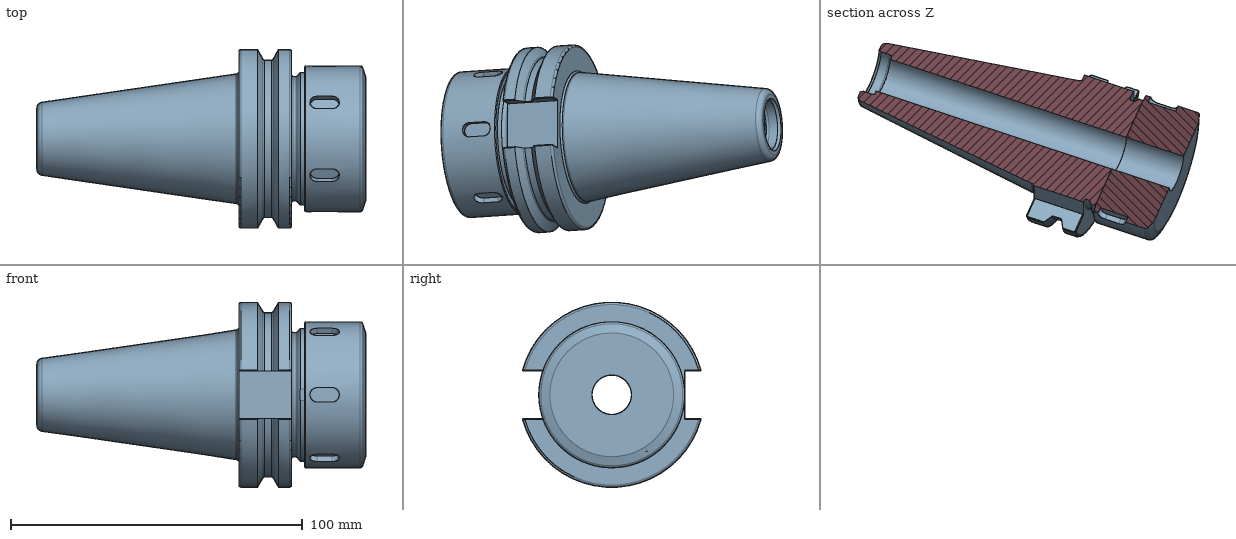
import cadquery as cq
import math


TAPER_LENGTH = 68.1
TAPER_DIAMETER = 44.4
TAPER_RATE = 7 / 24
TAPER_TIP_DIAMETER = TAPER_DIAMETER - TAPER_RATE * TAPER_LENGTH
TAPER_TIP_FILLET = 2.1
COLLAR_LENGTH = 0.5
COLLAR_CONE_DIAMETER = 45.5

FLANGE_START = 69.2
FLANGE_END = 87.3
FLANGE_DIAMETER = 63.5
FLANGE_FILLET = 0.8
GROOVE_OFFSET = 11.2
GROOVE_CENTRE = TAPER_LENGTH + GROOVE_OFFSET
GROOVE_DIAMETER = 56.4
GROOVE_MOUTH = 7.2
GROOVE_HALF_ANGLE = math.radians(30)
GROOVE_FILLET = 0.6

NECK_DIAMETER = 42.7
NECK_FILLET = 0.5
SHOULDER_DIAMETER = 45.5
SHOULDER_START = 90.3
SHOULDER_CONE_LENGTH = 1.2

DRIVE_SLOT_WIDTH = 16.2
DRIVE_SLOT_EDGE_CHAMFER = 0.3
DEEP_SLOT_SHOULDER_FLAT = 3.8
DEEP_SLOT_FLOOR = math.sqrt((SHOULDER_DIAMETER / 2) ** 2 - (DEEP_SLOT_SHOULDER_FLAT / 2) ** 2)
SHALLOW_SLOT_FLOOR = 25.0

BORE_DIAMETER = 13.4
COUNTERBORE_DIAMETER = 16.8
COUNTERBORE_DEPTH = 4.1
COUNTERBORE_MOUTH_DIAMETER = 18.0
COUNTERBORE_MOUTH_DEPTH = 1.0
COUNTERBORE_FLOOR_DIAMETER = 16.2
COUNTERBORE_FLOOR_DEPTH = 5.0

NUT_START = 91.7
NUT_END = 112.7
NUT_DIAMETER = 50.0
NUT_BACK_CHAMFER = 0.3
NUT_FACE_DIAMETER = 42.4
NUT_CONE_LENGTH = 1.2
NUT_RIM_FILLET = 1.0

WRENCH_SLOT_COUNT = 6
WRENCH_SLOT_LENGTH = 10.0
WRENCH_SLOT_WIDTH = 5.0
WRENCH_SLOT_SETBACK = 6.9
WRENCH_SLOT_CENTRE = NUT_START + WRENCH_SLOT_SETBACK
WRENCH_SLOT_DEPTH = 2.3


def revolve_profile(points):
    """Revolve a closed (x, radius) outline about the X axis."""
    return cq.Workplane("XY").polyline(points).close().revolve(360, (0, 0, 0), (1, 0, 0))


def fillet_circle(part, x, circle_radius, fillet_radius):
    """Fillet the circular edge that lies at the given X and has the given radius."""
    tolerance = 0.01
    edges = [
        edge for edge in part.edges("%CIRCLE").vals()
        if abs(edge.Center().x - x) < tolerance and abs(edge.radius() - circle_radius) < tolerance
    ]
    return part.newObject(edges).fillet(fillet_radius)


def through_bore(start, end):
    return cq.Workplane("YZ").workplane(offset=start).circle(BORE_DIAMETER / 2).extrude(end - start)


def make_turned_holder():
    taper_tip_radius = TAPER_TIP_DIAMETER / 2
    taper_radius = TAPER_DIAMETER / 2
    flange_radius = FLANGE_DIAMETER / 2
    groove_radius = GROOVE_DIAMETER / 2
    neck_radius = NECK_DIAMETER / 2
    shoulder_radius = SHOULDER_DIAMETER / 2
    groove_half_mouth = GROOVE_MOUTH / 2
    groove_half_floor = groove_half_mouth - (flange_radius - groove_radius) * math.tan(GROOVE_HALF_ANGLE)
    neck_end = SHOULDER_START - SHOULDER_CONE_LENGTH

    turned = revolve_profile([
        (0, 0),
        (0, taper_tip_radius),
        (TAPER_LENGTH, taper_radius),
        (TAPER_LENGTH + COLLAR_LENGTH, taper_radius),
        (FLANGE_START, COLLAR_CONE_DIAMETER / 2),
        (FLANGE_START, flange_radius),
        (GROOVE_CENTRE - groove_half_mouth, flange_radius),
        (GROOVE_CENTRE - groove_half_floor, groove_radius),
        (GROOVE_CENTRE + groove_half_floor, groove_radius),
        (GROOVE_CENTRE + groove_half_mouth, flange_radius),
        (FLANGE_END, flange_radius),
        (FLANGE_END, neck_radius),
        (neck_end, neck_radius),
        (SHOULDER_START, shoulder_radius),
        (NUT_START, shoulder_radius),
        (NUT_START, 0),
    ])
    turned = fillet_circle(turned, 0, taper_tip_radius, TAPER_TIP_FILLET)
    for x in (FLANGE_START, FLANGE_END):
        turned = fillet_circle(turned, x, flange_radius, FLANGE_FILLET)
    for side in (-1, 1):
        corner_x = GROOVE_CENTRE + side * groove_half_floor
        turned = fillet_circle(turned, corner_x, groove_radius, GROOVE_FILLET)
    for x in (FLANGE_END, neck_end):
        turned = fillet_circle(turned, x, neck_radius, NECK_FILLET)
    return turned


def drive_slot(side, floor):
    """Slot cutter on the -Y or +Y side, open to both ends of the flange and to the nut."""
    length = NUT_START - FLANGE_START
    depth = FLANGE_DIAMETER / 2
    return cq.Workplane("XY").box(length, depth, DRIVE_SLOT_WIDTH).translate(
        (FLANGE_START + length / 2, side * (floor + depth / 2), 0)
    )


def is_slot_rim(edge):
    """True for slot-wall edges on the flange's end faces, rounded rims and outer lands."""
    box = edge.BoundingBox()
    tolerance = 0.01
    on_wall = box.zlen < tolerance and abs(abs(box.zmax) - DRIVE_SLOT_WIDTH / 2) < tolerance
    on_start = box.xmax < FLANGE_START + FLANGE_FILLET + tolerance
    on_end = box.xmin > FLANGE_END - FLANGE_FILLET - tolerance
    land_y = math.sqrt((FLANGE_DIAMETER / 2) ** 2 - (DRIVE_SLOT_WIDTH / 2) ** 2)
    on_land = min(abs(box.ymin), abs(box.ymax)) > land_y - tolerance
    return on_wall and (on_start or on_end or on_land)


def cut_drive_slots(holder):
    holder = holder.cut(drive_slot(-1, DEEP_SLOT_FLOOR))
    holder = holder.cut(drive_slot(1, SHALLOW_SLOT_FLOOR))
    rims = [edge for edge in holder.edges().vals() if is_slot_rim(edge)]
    return holder.newObject(rims).chamfer(DRIVE_SLOT_EDGE_CHAMFER)


def counterbore():
    return revolve_profile([
        (0, 0),
        (0, COUNTERBORE_MOUTH_DIAMETER / 2),
        (COUNTERBORE_MOUTH_DEPTH, COUNTERBORE_DIAMETER / 2),
        (COUNTERBORE_DEPTH, COUNTERBORE_DIAMETER / 2),
        (COUNTERBORE_FLOOR_DEPTH, COUNTERBORE_FLOOR_DIAMETER / 2),
        (COUNTERBORE_FLOOR_DEPTH, 0),
    ])


def make_holder():
    holder = cut_drive_slots(make_turned_holder())
    return holder.cut(counterbore()).cut(through_bore(0, NUT_START))


def wrench_slot(angle):
    """Flat-bottomed slot along X, turned about the X axis from the -Y side."""
    floor = NUT_DIAMETER / 2 - WRENCH_SLOT_DEPTH
    return (
        cq.Workplane("XZ", origin=(WRENCH_SLOT_CENTRE, -floor, 0))
        .slot2D(WRENCH_SLOT_LENGTH, WRENCH_SLOT_WIDTH)
        .extrude(2 * WRENCH_SLOT_DEPTH)
        .rotate((0, 0, 0), (1, 0, 0), angle)
    )


def make_nut():
    radius = NUT_DIAMETER / 2
    cone_start = NUT_END - NUT_CONE_LENGTH
    nut = revolve_profile([
        (NUT_START, 0),
        (NUT_START, radius - NUT_BACK_CHAMFER),
        (NUT_START + NUT_BACK_CHAMFER, radius),
        (cone_start, radius),
        (NUT_END, NUT_FACE_DIAMETER / 2),
        (NUT_END, 0),
    ])
    nut = fillet_circle(nut, cone_start, radius, NUT_RIM_FILLET)
    for index in range(WRENCH_SLOT_COUNT):
        nut = nut.cut(wrench_slot(index * 360 / WRENCH_SLOT_COUNT))
    return nut.cut(through_bore(NUT_START, NUT_END))


holder = make_holder()
nut = make_nut()

result = cq.Compound.makeCompound([holder.val(), nut.val()])